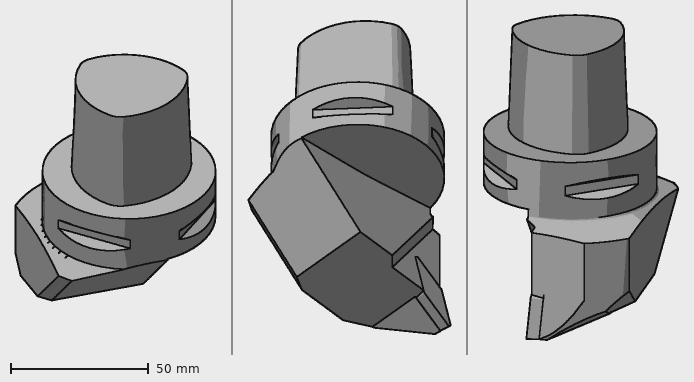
import cadquery as cq
import math


SHANK_HEIGHT = 38.0
SHANK_TIP = 23.5
SHANK_SIDE = 20.5
LOBE_RADIUS = 8.4
SHANK_INSET = 1.4

FLANGE_RADIUS = 63.0 / 2
FLANGE_DEPTH = 19.8
UNDERSIDE_DROP = 1.2
NECK_DEPTH = 22.0
NECK_FILLET = 1.0

GROOVE_COUNT = 4
GROOVE_FLOOR = 27.9
GROOVE_CENTER_Z = -11.1
GROOVE_FLOOR_WIDTH = 3.6
GROOVE_WALL_ANGLE = 30

HEAD_RADIUS = 44.7
SHOULDER_DEPTH = 26.6
HEAD_FRONT_Y = -34.0
HEAD_LEFT_X = -39.8
RAKE_FACE_Y = 0.0
STEP_Y = 4.5
STEP_FOOT = (-36.4, RAKE_FACE_Y, -24.2)
STEP_NORMAL = (-1.0, 1.0, -0.7)
HEAD_LIMIT = 72.1
BOTTOM_POINT = (-23.1, HEAD_FRONT_Y, -53.4)
BOTTOM_SLOPE_X = 0.18
BACK_CUT_POINT = (FLANGE_RADIUS, 0, -19.9)
BACK_CHAMFER_X = 4.6
BACK_CHAMFER_Y = 3.5
CORNER_POINT = (-29.0, HEAD_FRONT_Y, -47.2)
CORNER_NORMAL = (-1.0, -1.9, -1.0)
NOSE_SIDE = 19.0
NOSE_CUT_POINT = (-32.3, -28.7, -54.8)
NOSE_CUT_NORMAL = (-0.9, -1.0, -1.1)

INSERT_THICKNESS = 4.7
INSERT_SIDE = 17.1
INSERT_RELIEF = 7
INSERT_NOSE_RADIUS = 0.8
NOSE_CENTER = (-44.2, -64.2)
LOWER_FLANK_ANGLE = 38
LEFT_FLANK_ANGLE = LOWER_FLANK_ANGLE + 35


def polar(length, degrees):
    angle = math.radians(degrees)
    return cq.Vector(length * math.cos(angle), length * math.sin(angle))


def half_space(point, outward):
    """Large block that fills the outward side of a plane."""
    size = 4 * HEAD_LIMIT
    return cq.Workplane(cq.Plane(origin=point, normal=outward)).rect(size, size).extrude(size)


def lobed_outline(inset):
    """Points of the tangent-arc shank outline: start, then (middle, end) of each arc."""
    difference = SHANK_TIP - SHANK_SIDE
    lobe_center = SHANK_TIP - LOBE_RADIUS
    side_center = (2 * difference * lobe_center - difference**2) / (lobe_center - 2 * difference)
    side_radius = SHANK_SIDE + side_center
    offset = polar(lobe_center, 210) - polar(side_center, 90)
    joint = polar(side_center, 90) + offset.normalized() * (side_radius - inset)
    joint_radius = joint.Length
    joint_angle = math.degrees(math.atan2(joint.y, joint.x)) % 360
    half_lobe = joint_angle - 210
    start = polar(joint_radius, 90 - half_lobe)
    arcs = []
    for lobe_angle in (90, 210, 330):
        arcs.append((polar(SHANK_TIP - inset, lobe_angle),
                     polar(joint_radius, lobe_angle + half_lobe)))
        arcs.append((polar(SHANK_SIDE - inset, lobe_angle + 60),
                     polar(joint_radius, lobe_angle + 120 - half_lobe)))
    return start, arcs


def lobed_wire(inset, z):
    start, arcs = lobed_outline(inset)
    lift = cq.Vector(0, 0, z)
    edges = []
    for middle, end in arcs:
        edges.append(cq.Edge.makeThreePointArc(start + lift, middle + lift, end + lift))
        start = end
    return cq.Wire.assembleEdges(edges)


def make_shank():
    wires = [lobed_wire(0, 0), lobed_wire(SHANK_INSET, SHANK_HEIGHT)]
    return cq.Workplane(obj=cq.Solid.makeLoft(wires, True))


def make_flange():
    return (
        cq.Workplane("XZ")
        .polyline([(0, 0), (FLANGE_RADIUS, 0), (FLANGE_RADIUS, -FLANGE_DEPTH),
                   (0, -FLANGE_DEPTH - UNDERSIDE_DROP)])
        .close()
        .revolve(360, (0, 0, 0), (0, 1, 0))
    )


def make_grooves():
    """Trapezoidal straight grooves, cut tangentially at equal angles."""
    depth = FLANGE_RADIUS - GROOVE_FLOOR
    half_floor = GROOVE_FLOOR_WIDTH / 2
    half_mouth = half_floor + depth * math.tan(math.radians(GROOVE_WALL_ANGLE))
    cutter = (
        cq.Workplane("XZ", origin=(0, 0, GROOVE_CENTER_Z))
        .polyline([(GROOVE_FLOOR, -half_floor), (FLANGE_RADIUS, -half_mouth),
                   (FLANGE_RADIUS, half_mouth), (GROOVE_FLOOR, half_floor)])
        .close()
        .extrude(FLANGE_RADIUS, both=True)
    )
    spacing = 360 / GROOVE_COUNT
    grooves = cq.Workplane()
    for index in range(GROOVE_COUNT):
        grooves = grooves.add(cutter.rotate((0, 0, 0), (0, 0, 1), (index + 0.5) * spacing))
    return grooves.combine()


def make_head_envelope():
    """Revolved neck, blend, conical shoulder and outer cylinder."""
    shoulder_start = (FLANGE_RADIUS + NECK_FILLET, -NECK_DEPTH - NECK_FILLET)
    return (
        cq.Workplane("XZ")
        .moveTo(0, -FLANGE_DEPTH / 2)
        .lineTo(FLANGE_RADIUS, -FLANGE_DEPTH / 2)
        .lineTo(FLANGE_RADIUS, -NECK_DEPTH)
        .radiusArc(shoulder_start, -NECK_FILLET)
        .lineTo(HEAD_RADIUS, -SHOULDER_DEPTH)
        .lineTo(HEAD_RADIUS, -HEAD_LIMIT)
        .lineTo(0, -HEAD_LIMIT)
        .close()
        .revolve(360, (0, 0, 0), (0, 1, 0))
    )


def make_head_block(envelope):
    head = envelope.intersect(
        cq.Workplane("XY")
        .polyline([(HEAD_RADIUS, STEP_Y), (HEAD_LEFT_X, STEP_Y),
                   (HEAD_LEFT_X, HEAD_FRONT_Y), (HEAD_RADIUS, HEAD_FRONT_Y)])
        .close()
        .extrude(-HEAD_LIMIT)
    )
    clearance = half_space(STEP_FOOT, STEP_NORMAL).intersect(half_space(STEP_FOOT, (0, 1, 0)))
    clearance = clearance.intersect(half_space((0, 0, -NECK_DEPTH), (0, 0, -1)))
    below = half_space(BOTTOM_POINT, (BOTTOM_SLOPE_X, 0, -1))
    return head.cut(clearance).cut(below)


def rhombus_corners(side):
    """Sharp corners of a 35 degree rhombus in X and Z, starting at the cutting tip."""
    half_angle = (LEFT_FLANK_ANGLE - LOWER_FLANK_ANGLE) / 2
    tip_distance = INSERT_NOSE_RADIUS / math.sin(math.radians(half_angle))
    tip = cq.Vector(*NOSE_CENTER) - polar(tip_distance, LOWER_FLANK_ANGLE + half_angle)
    lower = tip + polar(side, LOWER_FLANK_ANGLE)
    upper = tip + polar(side, LEFT_FLANK_ANGLE)
    far = lower + upper - tip
    return [(corner.x, corner.y) for corner in (tip, lower, far, upper)]


def make_insert():
    corners = rhombus_corners(INSERT_SIDE)
    face = cq.Sketch().polygon(corners + corners[:1]).vertices().fillet(INSERT_NOSE_RADIUS)
    return (
        cq.Workplane("XZ", origin=(0, RAKE_FACE_Y, 0))
        .placeSketch(face)
        .extrude(INSERT_THICKNESS, taper=INSERT_RELIEF)
    )


def make_nose(envelope):
    """Wedge behind the insert, flush with the flanks of its underside."""
    seat_y = RAKE_FACE_Y - INSERT_THICKNESS
    inset = INSERT_THICKNESS * math.tan(math.radians(INSERT_RELIEF))
    wedge = (
        cq.Workplane("XZ", origin=(0, seat_y, 0))
        .polyline(rhombus_corners(NOSE_SIDE))
        .close()
        .offset2D(-inset)
        .extrude(seat_y - HEAD_FRONT_Y)
        .edges("|Y")
        .edges("<Z")
        .fillet(INSERT_NOSE_RADIUS - inset)
    )
    return wedge.intersect(envelope)


def make_holder(insert):
    envelope = make_head_envelope()
    head = make_head_block(envelope).union(make_nose(envelope))
    front_corner = half_space(CORNER_POINT, CORNER_NORMAL)
    nose_cut = half_space(NOSE_CUT_POINT, NOSE_CUT_NORMAL)
    head = head.cut(front_corner).cut(nose_cut)
    holder = make_flange().union(head).union(make_shank())
    back_cut = half_space(BACK_CUT_POINT, (1, 0, -1))
    chamfer_y = HEAD_FRONT_Y + BACK_CHAMFER_Y
    back_chamfer = half_space(
        (BACK_CUT_POINT[0], chamfer_y, BACK_CUT_POINT[2]),
        (BACK_CHAMFER_Y, -BACK_CHAMFER_X, -BACK_CHAMFER_Y),
    )
    return holder.cut(make_grooves()).cut(back_cut).cut(back_chamfer).cut(insert)


cutting_insert = make_insert()
holder = make_holder(cutting_insert)

result = cq.Compound.makeCompound([holder.val(), cutting_insert.val()])